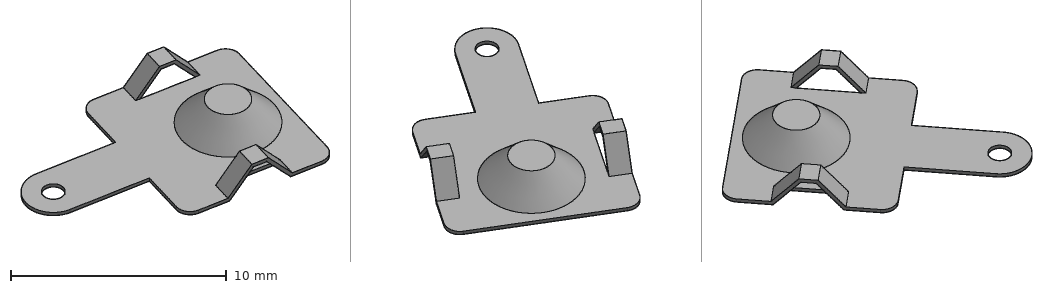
import cadquery as cq
import math

sheet_thickness = 0.2
plate_width = 9.3
plate_length = 8.2
corner_radius = 0.75

overall_length = 14.0
tab_width = 3.0
tab_hole_diameter = 1.1

dome_base_diameter = 5.0
dome_top_diameter = 2.2
dome_top_z = 1.6
dome_offset_from_back_edge = 3.0

bridge_width = 1.1
bridge_base_length = 3.5
bridge_top_length = 0.9
bridge_top_z = 1.7

tab_radius = tab_width / 2
tab_end_y = plate_length / 2 - overall_length + tab_radius
dome_y = plate_length / 2 - dome_offset_from_back_edge

leg_rise = bridge_top_z - sheet_thickness
leg_run = (bridge_base_length - bridge_top_length) / 2
leg_run_per_rise = leg_run / leg_rise
leg_horizontal_thickness = sheet_thickness * math.hypot(leg_run, leg_rise) / leg_rise


def make_plate():
    """Rounded rectangular plate."""
    plate = cq.Workplane("XY").rect(plate_width, plate_length).extrude(sheet_thickness)
    return plate.edges("|Z").fillet(corner_radius)


def make_tab():
    """Round-ended tab, starting on the plate's centre line so that it overlaps the plate."""
    return (
        cq.Workplane("XY")
        .moveTo(-tab_radius, 0)
        .lineTo(-tab_radius, tab_end_y)
        .threePointArc((0, tab_end_y - tab_radius), (tab_radius, tab_end_y))
        .lineTo(tab_radius, 0)
        .close()
        .extrude(sheet_thickness)
    )


def make_tab_hole():
    """Cutter for the hole concentric with the tab's round end."""
    return cq.Workplane("XY").center(0, tab_end_y).circle(tab_hole_diameter / 2).extrude(sheet_thickness)


def make_dome():
    """Solid truncated cone standing on the plate."""
    cone = cq.Solid.makeCone(
        dome_base_diameter / 2,
        dome_top_diameter / 2,
        dome_top_z - sheet_thickness,
        pnt=cq.Vector(0, dome_y, sheet_thickness),
    )
    return cq.Workplane(obj=cone)


def bridge_prism(side, bottom_z, top_z, half_length_at_plate_top):
    """Trapezoidal prism along one side edge, its ends parallel to the bridge legs."""
    bottom_half = half_length_at_plate_top - (bottom_z - sheet_thickness) * leg_run_per_rise
    top_half = half_length_at_plate_top - (top_z - sheet_thickness) * leg_run_per_rise
    center_x = side * (plate_width - bridge_width) / 2
    return (
        cq.Workplane("YZ", origin=(center_x, 0, 0))
        .polyline([(-bottom_half, bottom_z), (bottom_half, bottom_z), (top_half, top_z), (-top_half, top_z)])
        .close()
        .extrude(bridge_width / 2, both=True)
    )


def add_bridge(body, side):
    """Add one bridge and open the space below it, through the plate."""
    outer_half_length = bridge_base_length / 2
    inner_half_length = outer_half_length - leg_horizontal_thickness
    outer = bridge_prism(side, sheet_thickness, bridge_top_z, outer_half_length)
    opening = bridge_prism(side, 0, bridge_top_z - sheet_thickness, inner_half_length)
    return body.union(outer).cut(opening)


result = make_plate().union(make_tab()).cut(make_tab_hole())
for bridge_side in (-1, 1):
    result = add_bridge(result, bridge_side)
result = result.union(make_dome())